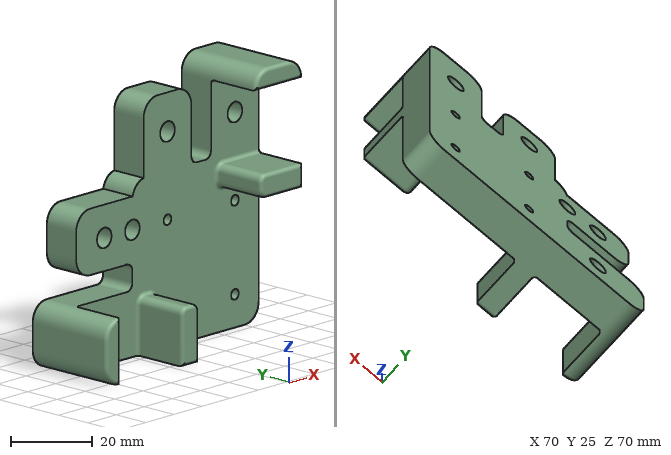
import cadquery as cq

SIZE = 70.0
BODY = 45.0
PLATE = 10.0
DEPTH = 25.0
CORNER_R = 5.0
SLOT_R = 2.0

ARM_WIDTH = 17.0
ARM_GAP = 7.0
INNER_ARM_SETBACK = 5.0

LIP = 5.0
RIB_WIDTH = 6.0
RIB_LENGTH = 15.0
RIB_OFFSET = 27.0
RIB_CORNER_R = 2.0
EDGE_R = 1.0
ROOT_R = 1.0

ARM_HOLE_D = 5.2
BODY_HOLE_D = 2.7
ARM_HOLE_REACH = 15.0
EXTRA_HOLE_PITCH = 10.0

ARM_PITCH = ARM_WIDTH + ARM_GAP
BODY_X = SIZE - BODY
ARM_ROOT = BODY_X + CORNER_R
OUTER_LINE = ARM_WIDTH / 2
INNER_LINE = OUTER_LINE + ARM_PITCH
TOL = 0.01


def swap(x, z):
    """Reflect a point across the diagonal that maps the -X arms to the +Z arms."""
    return SIZE - z, SIZE - x


def block(x0, x1, z0, z1, depth, mirrored=False):
    """Box from the back face to the given depth, optionally reflected across the diagonal."""
    if mirrored:
        (x0, z0), (x1, z1) = swap(x1, z1), swap(x0, z0)
    return cq.Workplane("XY").box(x1 - x0, depth, z1 - z0, centered=False).translate((x0, -depth, z0))


def edges_along_y(solid, points, mirrored=False):
    """Edges parallel to Y that pass through the given XZ points."""
    places = [swap(*p) if mirrored else p for p in points]

    def near(edge):
        c = edge.Center()
        return any(abs(c.x - x) < TOL and abs(c.z - z) < TOL for x, z in places)

    return solid.edges("|Y").filter(near)


def make_body():
    body = block(BODY_X, SIZE, 0, BODY, PLATE)
    return edges_along_y(body, [(BODY_X, BODY), (SIZE, 0)]).fillet(CORNER_R)


def make_inner_arm(mirrored):
    z0 = ARM_PITCH
    z1 = z0 + ARM_WIDTH
    arm = block(INNER_ARM_SETBACK, ARM_ROOT, z0, z1, PLATE, mirrored)
    tips = [(INNER_ARM_SETBACK, z0), (INNER_ARM_SETBACK, z1)]
    return edges_along_y(arm, tips, mirrored).fillet(CORNER_R)


def lip_relief():
    """Cutter for the space inside a -X lip, shaping the lip's root blend and inner end rounding."""
    far = ARM_ROOT + CORNER_R
    profile = (
        cq.Workplane("XY")
        .moveTo(far, -PLATE)
        .lineTo(LIP + ROOT_R, -PLATE)
        .radiusArc((LIP, -PLATE - ROOT_R), -ROOT_R)
        .lineTo(LIP, -DEPTH + EDGE_R)
        .radiusArc((LIP - EDGE_R, -DEPTH), EDGE_R)
        .lineTo(far, -DEPTH)
        .close()
    )
    return profile.extrude(ARM_WIDTH)


def make_outer_arm():
    """-X arm with a lip at its end; the lip follows the rounded corners of the arm."""
    blank = block(0, ARM_ROOT, 0, ARM_WIDTH, DEPTH)
    blank = edges_along_y(blank, [(0, 0), (0, ARM_WIDTH)]).fillet(CORNER_R)
    blank = blank.faces("<Y").edges().fillet(EDGE_R)
    return blank.cut(lip_relief())


def reflect(solid):
    """Reflect a solid across the same diagonal as swap."""
    return solid.mirror("YZ").rotate((0, 0, 0), (0, 1, 0), -90).translate((SIZE, 0, SIZE))


def make_rib(mirrored):
    """Rib standing on a body edge, rounded at its inner end and its free end."""
    x0 = RIB_OFFSET
    x1 = x0 + RIB_WIDTH
    rib = block(x0, x1, 0, RIB_LENGTH, DEPTH, mirrored)
    rib = edges_along_y(rib, [(x0, RIB_LENGTH), (x1, RIB_LENGTH)], mirrored).fillet(RIB_CORNER_R)
    return rib.faces("<Y").edges().fillet(EDGE_R)


def blend_rib_root(solid, mirrored):
    """Fillet between a rib and the plate along the rib sides and inner end."""
    margin = ROOT_R / 2
    ends = (RIB_OFFSET - margin, -margin), (RIB_OFFSET + RIB_WIDTH + margin, RIB_LENGTH + margin)
    if mirrored:
        ends = swap(*ends[1]), swap(*ends[0])
    (x0, z0), (x1, z1) = ends
    root = cq.selectors.BoxSelector((x0, -PLATE - TOL, z0), (x1, -PLATE + TOL, z1))
    return solid.edges(root).fillet(ROOT_R)


def drill(solid, points, diameter):
    holes = cq.Workplane("XZ").pushPoints(points).circle(diameter / 2).extrude(PLATE)
    return solid.cut(holes)


def make_part():
    outer_arm = make_outer_arm()
    part = make_body().union(outer_arm).union(reflect(outer_arm))
    for mirrored in (False, True):
        part = part.union(make_inner_arm(mirrored))

    slot_corners = [(BODY_X, ARM_WIDTH), (BODY_X, ARM_PITCH)]
    for mirrored in (False, True):
        part = edges_along_y(part, slot_corners, mirrored).fillet(SLOT_R)
        part = part.union(make_rib(mirrored))
        part = blend_rib_root(part, mirrored)

    arm_holes = [(ARM_HOLE_REACH, OUTER_LINE), (ARM_HOLE_REACH, INNER_LINE)]
    arm_holes += [swap(*p) for p in arm_holes]
    arm_holes.append((ARM_HOLE_REACH + EXTRA_HOLE_PITCH, INNER_LINE))
    part = drill(part, arm_holes, ARM_HOLE_D)

    lines = (OUTER_LINE, INNER_LINE)
    body_holes = [(SIZE - a, b) for a in lines for b in lines]
    return drill(part, body_holes, BODY_HOLE_D)


result = make_part()